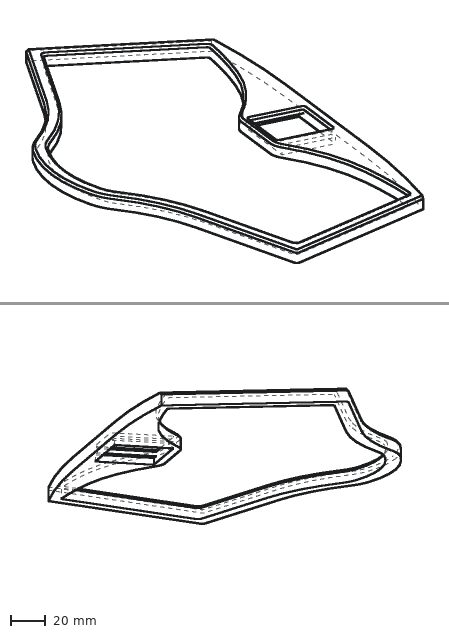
import cadquery as cq
import math

WIDTH = 334.85
DEPTH = 179.38
THICKNESS = 8.0
RAIL_WIDTH = 9.0
EDGE_CHAMFER = 1.5
CORNER_RADIUS = 2.05

RAIL_ANGLE = 20.0

BELLY_RADIUS = 100.0
BELLY_END_ANGLE = 21.0
BLEND_RADIUS = 36.3
BLEND_END_ANGLE = 46.0
SHOULDER_RADIUS = 119.0

BACK_FLAT_HALF = 50.0
BACK_CORNER_HALF = 131.0
BACK_CORNER_DROP = 6.3

PANEL_DEPTH = 46.5
PANEL_FLAT_HALF = 17.6
PANEL_BLEND_RADIUS = 14.0
PANEL_BLEND_ANGLE = 39.5
PANEL_FLANK_RADIUS = 124.0
PANEL_FLANK_ANGLE = 11.5
PANEL_TIP_RADIUS = 300.0

WINDOW_SIZE = 34.8
WINDOW_CENTRE_Y = -23.8
WINDOW_CORNER_RADIUS = 0.5

LIP_THICKNESS = 4.0
UNDERCUT_REACH = 5.0

RAIL_SIN = math.sin(math.radians(RAIL_ANGLE))
RAIL_COS = math.cos(math.radians(RAIL_ANGLE))



def arc_step(start, radius, angle_in, angle_out):
    """Arc from start towards -X and +Y whose slope changes from angle_in to angle_out."""
    turn = math.copysign(radius, angle_out - angle_in)
    slope_in = math.radians(angle_in)
    points = []
    for angle in ((angle_in + angle_out) / 2, angle_out):
        slope = math.radians(angle)
        x = start[0] - turn * (math.sin(slope) - math.sin(slope_in))
        y = start[1] + turn * (math.cos(slope_in) - math.cos(slope))
        points.append((x, y))
    return tuple(points)


def line_step(end):
    return None, end


def mirrored(point):
    return -point[0], point[1]


def symmetric_block(start, steps):
    """Plate bounded by a half outline, from centre line to centre line, and its mirror image."""
    sketch = cq.Workplane("XY").moveTo(*start)
    for middle, end in steps:
        sketch = sketch.threePointArc(middle, end) if middle else sketch.lineTo(*end)
    starts = [start] + [end for _, end in steps[:-1]]
    for (middle, _), end in zip(reversed(steps), reversed(starts)):
        target = mirrored(end)
        sketch = sketch.threePointArc(mirrored(middle), target) if middle else sketch.lineTo(*target)
    return sketch.close().extrude(THICKNESS)


def front_steps(inset):
    """Front edge, offset inwards by inset, from the centre line to the end of the shoulder."""
    belly = arc_step((0, inset - DEPTH), BELLY_RADIUS - inset, 0, BELLY_END_ANGLE)
    blend = arc_step(belly[1], BLEND_RADIUS - inset, BELLY_END_ANGLE, BLEND_END_ANGLE)
    shoulder = arc_step(blend[1], SHOULDER_RADIUS + inset, BLEND_END_ANGLE, RAIL_ANGLE)
    return [belly, blend, shoulder]


def front_corner(inset):
    """Sharp corner between a front rail and a side rail, offset inwards by inset."""
    shoulder_end = front_steps(0)[-1][1]
    x = -WIDTH / 2 - CORNER_RADIUS * (RAIL_SIN + RAIL_COS - 1)
    y = shoulder_end[1] + (shoulder_end[0] - x) * RAIL_SIN / RAIL_COS
    return x + inset * (RAIL_COS + RAIL_SIN), y + inset * (RAIL_COS - RAIL_SIN)


def along_side(corner, distance):
    """Point on a side rail edge at a distance from its front corner."""
    return corner[0] + distance * RAIL_SIN, corner[1] + distance * RAIL_COS


def side_meets_circle(corner, centre, radius):
    """Rearmost point where the side edge through corner meets a circle."""
    dx = centre[0] - corner[0]
    dy = centre[1] - corner[1]
    along = dx * RAIL_SIN + dy * RAIL_COS
    across = dx * RAIL_COS - dy * RAIL_SIN
    return along_side(corner, along + math.sqrt(radius**2 - across**2))


def rail_block():
    """Chamfered front and side edges; the sides run on past the back edge."""
    corner = front_corner(0)
    back_end = along_side(corner, DEPTH)
    steps = front_steps(0) + [line_step(corner), line_step(back_end), line_step((0, back_end[1]))]
    block = symmetric_block((0, -DEPTH), steps)
    for corner_edge in ("<X", ">X"):
        block = block.edges(f"|Z and {corner_edge}").fillet(CORNER_RADIUS)
    return block.faces(">Z").chamfer(EDGE_CHAMFER)


def back_block():
    """Plate that gives the frame its plain, bowed back edge."""
    run = BACK_CORNER_HALF - BACK_FLAT_HALF
    radius = (run**2 + BACK_CORNER_DROP**2) / (2 * BACK_CORNER_DROP)
    middle_x = BACK_FLAT_HALF + run / 2
    middle_y = math.sqrt(radius**2 - (run / 2) ** 2) - radius
    corner = (-BACK_CORNER_HALF, -BACK_CORNER_DROP)
    steps = [
        line_step((-WIDTH, -DEPTH)),
        line_step((-WIDTH, -BACK_CORNER_DROP)),
        line_step(corner),
        ((-middle_x, middle_y), (-BACK_FLAT_HALF, 0)),
        line_step((0, 0)),
    ]
    return symmetric_block((0, -DEPTH), steps)


def opening_outline():
    """Half outline of the main opening, and its two sharp corners on the side rail."""
    corner = front_corner(RAIL_WIDTH)
    flat_end = (-PANEL_FLAT_HALF, -PANEL_DEPTH)
    blend = arc_step(flat_end, PANEL_BLEND_RADIUS, 0, PANEL_BLEND_ANGLE)
    flank = arc_step(blend[1], PANEL_FLANK_RADIUS, PANEL_BLEND_ANGLE, PANEL_FLANK_ANGLE)
    slope = math.radians(PANEL_FLANK_ANGLE)
    tip_start = flank[1]
    tip_centre = (
        tip_start[0] - PANEL_TIP_RADIUS * math.sin(slope),
        tip_start[1] - PANEL_TIP_RADIUS * math.cos(slope),
    )
    tip_end = side_meets_circle(corner, tip_centre, PANEL_TIP_RADIUS)
    end_angle = math.degrees(math.asin((tip_end[0] - tip_centre[0]) / PANEL_TIP_RADIUS))
    tip_middle, _ = arc_step(tip_start, PANEL_TIP_RADIUS, PANEL_FLANK_ANGLE, end_angle)
    steps = front_steps(RAIL_WIDTH) + [
        line_step(corner),
        line_step(tip_end),
        (tip_middle, tip_start),
        (flank[0], blend[1]),
        (blend[0], flat_end),
        line_step((0, -PANEL_DEPTH)),
    ]
    return steps, (corner, tip_end)


def main_opening():
    steps, corners = opening_outline()
    block = symmetric_block((0, RAIL_WIDTH - DEPTH), steps)
    for corner in corners:
        for x, y in (corner, mirrored(corner)):
            nearest = cq.selectors.NearestToPointSelector((x, y, THICKNESS / 2))
            block = block.edges(nearest).fillet(CORNER_RADIUS)
    return block


def window():
    """Square opening, widened along X below the lips."""
    base = cq.Workplane("XY").center(0, WINDOW_CENTRE_Y)
    opening = base.rect(WINDOW_SIZE, WINDOW_SIZE).extrude(THICKNESS)
    opening = opening.edges("|Z").fillet(WINDOW_CORNER_RADIUS)
    undercuts = base.rect(WINDOW_SIZE + 2 * UNDERCUT_REACH, WINDOW_SIZE).extrude(THICKNESS - LIP_THICKNESS)
    return opening.union(undercuts)


def chamfer_openings(frame):
    """Chamfer the top edges of the main opening and the window."""
    opening_edges = [edge for wire in frame.faces(">Z").val().innerWires() for edge in wire.Edges()]
    return frame.newObject(opening_edges).chamfer(EDGE_CHAMFER)


plate = rail_block().intersect(back_block())
result = chamfer_openings(plate.cut(main_opening()).cut(window()))